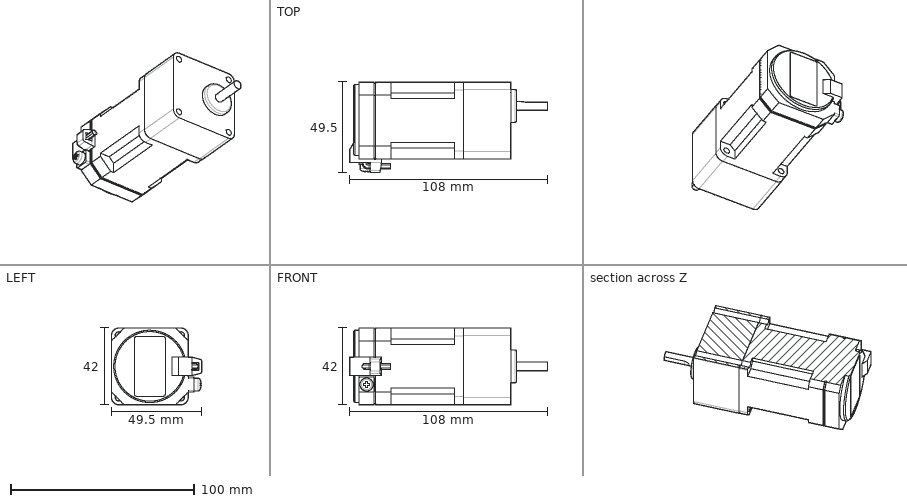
import cadquery as cq
import math

BODY_SIZE = 42.0
HALF = BODY_SIZE / 2
OVERALL_Y = 49.5

CAP_REAR_X = 2.0
FLANGE_REAR_X = 5.0
GROOVE_X = 13.3
SLOT_START_X = 22.5
SLOT_END_X = 57.1
JOINT_X = 62.0
GEARBOX_END_X = 88.0
BOSS_END_X = 91.0
SHAFT_END_X = 108.0

REAR_CHAMFER = 7.0
GROOVE_WIDTH = 0.9
GROOVE_DEPTH = 0.5
CORNER_RADIUS = 4.4
SLOT_DEPTH = 9.1
SLOT_INNER_CHAMFER = 3.0

HOLE_OFFSET = 17.1
HOLE_DIAMETER = 3.5

CAP_RADIUS = 19.8
CAP_CHAMFER = 0.8
LABEL_WIDTH = 16.8
LABEL_HEIGHT = 32.6
LABEL_CORNER_RADIUS = 1.1
LABEL_DEPTH = 0.1

COVER_HALF_WIDTH = 5.1
COVER_LENGTH = 17.4
COVER_FACE_Y = -23.0
COVER_BEVEL_Y = -15.8
COVER_TOP_Y = -12.2

CLAMP_REAR_X = 11.1
CLAMP_TIP_LENGTH = 5.4
CLAMP_TIP_Y = HALF - OVERALL_Y
CLAMP_TIP_HALF_WIDTH = 3.7
CLAMP_FILLET = 1.5
CLAMP_SLOT_WIDTH = 4.2
CLAMP_SLOT_DEPTH = 3.6

LEAD_RADIUS = 0.81
LEAD_OFFSET = 0.78
SIDE_LEAD_SHIFT = 0.2
BUNDLE_BEND_RADIUS = 1.9
BEND_END_X = 10.2
BUNDLE_END_X = 22.4

PAD_LENGTH = 8.5
PAD_WIDTH = 8.3
PAD_FACE_Y = -24.0
PAD_CORNER_RADIUS = 0.9
SCREW_X = 9.2
SCREW_Z = -9.9
SCREW_RADIUS = 3.6
SCREW_RIM_HEIGHT = 2.3
SCREW_SHOULDER_HEIGHT = 3.5
SCREW_HEIGHT = 4.2
SCREW_DOME_RADIUS = 2.8
CROSS_LENGTH = 3.2
CROSS_WIDTH = 1.2
CROSS_DEPTH = 1.3

GEARBOX_CORNER_RADIUS = 4.1
OUTPUT_Y = 8.0
BOSS_RADIUS = 9.1
BOSS_FILLET = 1.0
SHAFT_RADIUS = 2.5
FLAT_START_X = 93.4
FLAT_RUNOUT = 2.9
FLAT_DEPTH = 0.4

QUADRANTS = [(sy, sz) for sy in (-1, 1) for sz in (-1, 1)]


def section_at(x):
    """Workplane across the motor axis: local x is +Y, local y is +Z, normal is +X."""
    return cq.Workplane("YZ", origin=(x, 0, 0))


def square_bar(x_start, x_end, size=BODY_SIZE):
    return section_at(x_start).rect(size, size).extrude(x_end - x_start)


def mounting_holes(x_start, x_end):
    centres = [(sy * HOLE_OFFSET, sz * HOLE_OFFSET) for sy, sz in QUADRANTS]
    return section_at(x_start).pushPoints(centres).circle(HOLE_DIAMETER / 2).extrude(x_end - x_start)


def chamfered_bar(x_start, x_end, inset=0.0):
    """Square bar with chamfered corners, every side moved in by `inset`."""
    inset_chamfer = REAR_CHAMFER - inset * (2 - math.sqrt(2))
    return square_bar(x_start, x_end, BODY_SIZE - 2 * inset).edges("|X").chamfer(inset_chamfer)


def corner_slot(sy, sz):
    """Open channel along one corner of the housing, with a sloped inner corner."""
    floor = HALF - SLOT_DEPTH
    slope_end = floor + SLOT_INNER_CHAMFER
    outline = [(floor, HALF), (floor, slope_end), (slope_end, floor), (HALF, floor), (HALF, HALF)]
    points = [(sy * y, sz * z) for y, z in outline]
    return section_at(SLOT_START_X).polyline(points).close().extrude(SLOT_END_X - SLOT_START_X)


def motor_housing():
    groove_end = GROOVE_X + GROOVE_WIDTH
    housing = chamfered_bar(FLANGE_REAR_X, GROOVE_X)
    housing = housing.union(chamfered_bar(GROOVE_X, groove_end, GROOVE_DEPTH))
    housing = housing.union(chamfered_bar(groove_end, SLOT_START_X))
    front = square_bar(SLOT_START_X, JOINT_X).edges("|X").fillet(CORNER_RADIUS)
    for sy, sz in QUADRANTS:
        front = front.cut(corner_slot(sy, sz))
    front = front.cut(mounting_holes(SLOT_END_X, JOINT_X))
    return housing.union(front)


def rear_cap():
    cap = section_at(CAP_REAR_X).circle(CAP_RADIUS).extrude(FLANGE_REAR_X - CAP_REAR_X)
    cap = cap.faces("<X").chamfer(CAP_CHAMFER)
    label = section_at(CAP_REAR_X).rect(LABEL_WIDTH, LABEL_HEIGHT).extrude(LABEL_DEPTH)
    return cap.cut(label.edges("|X").fillet(LABEL_CORNER_RADIUS))


def cable_cover():
    """Angled cover lapping the rear cap and the -Y side of the housing."""
    outline = [
        (CAP_REAR_X, COVER_TOP_Y),
        (0, COVER_BEVEL_Y),
        (0, COVER_FACE_Y),
        (COVER_LENGTH, COVER_FACE_Y),
        (COVER_LENGTH, -HALF),
        (FLANGE_REAR_X, -HALF),
        (FLANGE_REAR_X, COVER_TOP_Y),
    ]
    return cq.Workplane("XY").polyline(outline).close().extrude(COVER_HALF_WIDTH, both=True)


def cable_clamp():
    """Tapered block with a slot along X for the leads."""
    trapezoid = [
        (COVER_FACE_Y, -COVER_HALF_WIDTH),
        (COVER_FACE_Y, COVER_HALF_WIDTH),
        (CLAMP_TIP_Y, CLAMP_TIP_HALF_WIDTH),
        (CLAMP_TIP_Y, -CLAMP_TIP_HALF_WIDTH),
    ]
    length = COVER_LENGTH - CLAMP_REAR_X
    clamp = section_at(CLAMP_REAR_X).polyline(trapezoid).close().extrude(length)
    clamp = clamp.faces("<Y").edges("|X").fillet(CLAMP_FILLET)
    side_wedge = [
        (COVER_LENGTH, COVER_FACE_Y),
        (COVER_LENGTH, CLAMP_TIP_Y),
        (CLAMP_REAR_X + CLAMP_TIP_LENGTH, CLAMP_TIP_Y),
    ]
    wedge = cq.Workplane("XY").polyline(side_wedge).close().extrude(COVER_HALF_WIDTH, both=True)
    clamp = clamp.cut(wedge)
    slot_centre_y = COVER_FACE_Y - CLAMP_SLOT_DEPTH / 2
    slot = section_at(CLAMP_REAR_X).center(slot_centre_y, 0).rect(CLAMP_SLOT_DEPTH, CLAMP_SLOT_WIDTH)
    return clamp.cut(slot.extrude(length))


def lead(offset_y, z):
    """One lead: a quarter bend out of the cover face, then straight along +X."""
    y = COVER_FACE_Y - BUNDLE_BEND_RADIUS + offset_y
    bend_radius = COVER_FACE_Y - y
    straight = section_at(BEND_END_X).center(y, z).circle(LEAD_RADIUS).extrude(BUNDLE_END_X - BEND_END_X)
    bend = section_at(BEND_END_X).center(y, z).circle(LEAD_RADIUS)
    bend = bend.revolve(90, (bend_radius, 0), (bend_radius, -1))
    return straight.union(bend)


def lead_bundle():
    leads = lead(-LEAD_OFFSET, 0)
    for offset_y, z in [(LEAD_OFFSET, 0), (-SIDE_LEAD_SHIFT, LEAD_OFFSET), (-SIDE_LEAD_SHIFT, -LEAD_OFFSET)]:
        leads = leads.union(lead(offset_y, z))
    return leads


def screw_pad():
    pad = cq.Workplane("XY").box(PAD_LENGTH, -HALF - PAD_FACE_Y, PAD_WIDTH, centered=(False, False, True))
    pad = pad.edges("|Y").fillet(PAD_CORNER_RADIUS)
    return pad.translate((FLANGE_REAR_X, PAD_FACE_Y, SCREW_Z))


def earth_screw():
    """Domed screw head with a cross recess, pointing to -Y."""
    rim_y = PAD_FACE_Y - SCREW_RIM_HEIGHT
    shoulder_y = PAD_FACE_Y - SCREW_SHOULDER_HEIGHT
    tip_y = PAD_FACE_Y - SCREW_HEIGHT
    head = (
        cq.Workplane("XY")
        .moveTo(0, PAD_FACE_Y)
        .lineTo(SCREW_RADIUS, PAD_FACE_Y)
        .lineTo(SCREW_RADIUS, rim_y)
        .tangentArcPoint((SCREW_DOME_RADIUS, shoulder_y), relative=False)
        .tangentArcPoint((0, tip_y), relative=False)
        .close()
        .revolve(360, (0, 0), (0, 1))
    )
    for length_x, length_z in [(CROSS_LENGTH, CROSS_WIDTH), (CROSS_WIDTH, CROSS_LENGTH)]:
        arm = cq.Workplane("XY").box(length_x, CROSS_DEPTH, length_z, centered=(True, False, True))
        head = head.cut(arm.translate((0, tip_y, 0)))
    return head.translate((SCREW_X, 0, SCREW_Z))


def make_motor():
    body = motor_housing().union(rear_cap())
    body = body.union(cable_cover()).union(cable_clamp()).union(lead_bundle())
    return body.union(screw_pad()).union(earth_screw())


def output_boss():
    boss = section_at(GEARBOX_END_X).center(OUTPUT_Y, 0).circle(BOSS_RADIUS)
    boss = boss.extrude(BOSS_END_X - GEARBOX_END_X)
    return boss.faces(">X").edges().fillet(BOSS_FILLET)


def output_shaft():
    """Round shaft with a flat on its +Y side that runs out before the boss."""
    shaft = section_at(BOSS_END_X).center(OUTPUT_Y, 0).circle(SHAFT_RADIUS).extrude(SHAFT_END_X - BOSS_END_X)
    top_y = OUTPUT_Y + SHAFT_RADIUS
    flat_outline = [
        (FLAT_START_X, top_y),
        (FLAT_START_X + FLAT_RUNOUT, top_y - FLAT_DEPTH),
        (SHAFT_END_X, top_y - FLAT_DEPTH),
        (SHAFT_END_X, top_y),
    ]
    return shaft.cut(cq.Workplane("XY").polyline(flat_outline).close().extrude(SHAFT_RADIUS, both=True))


def make_gearbox():
    body = square_bar(JOINT_X, GEARBOX_END_X).edges("|X").fillet(GEARBOX_CORNER_RADIUS)
    body = body.cut(mounting_holes(JOINT_X, GEARBOX_END_X))
    return body.union(output_boss()).union(output_shaft())


motor = make_motor()
gearbox = make_gearbox()

result = cq.Compound.makeCompound([motor.val(), gearbox.val()])